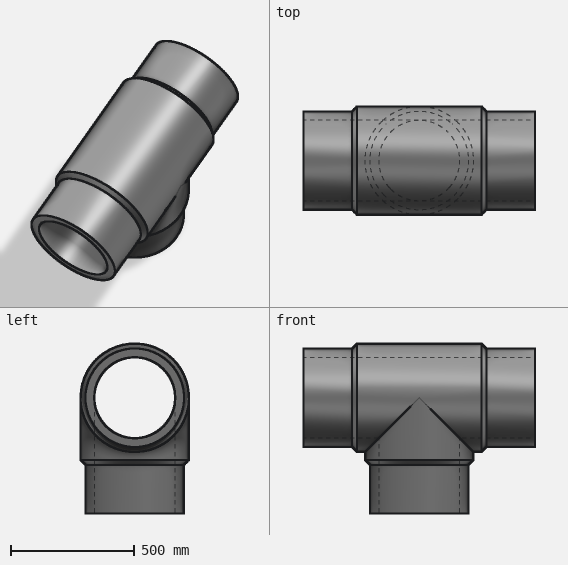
import cadquery as cq

pipe_diameter = 400.0
body_diameter = 440.0
bore_diameter = 327.4
reach = 470.0
spigot_length = 198.0

body_reach = reach - spigot_length
bevel = (body_diameter - pipe_diameter) / 2

left = (-1, 0, 0)
right = (1, 0, 0)
down = (0, 0, -1)
arm_directions = [left, right, down]


def cylinder(direction, diameter, length):
    """Round bar from the tee centre outward along a direction."""
    plane = cq.Plane(origin=(0, 0, 0), xDir=(0, 1, 0), normal=direction)
    return cq.Workplane(plane).circle(diameter / 2).extrude(length)


def arm(direction):
    """Solid arm: thick body with a bevelled end, then plain pipe."""
    body = cylinder(direction, body_diameter, body_reach)
    outer_end = cq.selectors.DirectionMinMaxSelector(cq.Vector(*direction))
    body = body.faces(outer_end).chamfer(bevel)
    return body.union(cylinder(direction, pipe_diameter, reach))


tee = cq.Workplane()
for arm_direction in arm_directions:
    tee = tee.add(arm(arm_direction))
tee = tee.combine()

for arm_direction in arm_directions:
    tee = tee.cut(cylinder(arm_direction, bore_diameter, reach))

result = tee.clean()